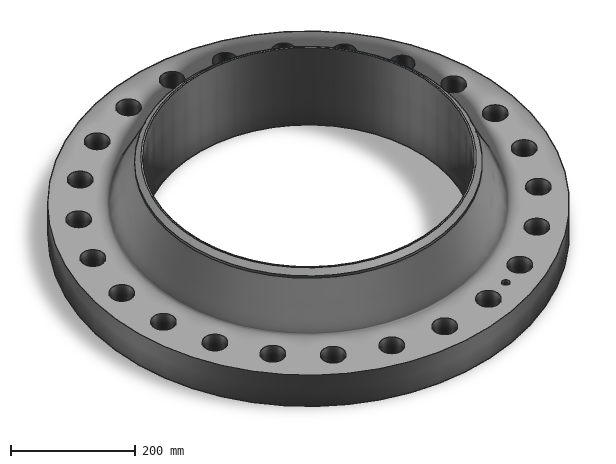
import cadquery as cq
import math

flange_diameter = 838.0
total_height = 165.0
flange_thickness = 67.0

bore_diameter = 533.0
neck_diameter = 559.0
hub_base_diameter = 641.0
hub_fillet_radius = 4.0
root_face = 2.9
bevel_height = 8.0
neck_band = 5.0

bolt_count = 24
bolt_circle_diameter = 742.5
bolt_hole_diameter = 41.0

small_hole_diameter = 13.0
small_hole_depth = 33.5
drill_point_angle = 118
small_hole_angle = 180 / bolt_count


def make_body():
    """Revolve the flange, tapered hub and bevelled weld end about Z."""
    bore_radius = bore_diameter / 2
    flange_radius = flange_diameter / 2
    hub_base_radius = hub_base_diameter / 2
    neck_radius = neck_diameter / 2
    bevel_start = total_height - bevel_height
    profile = [
        (bore_radius, 0),
        (flange_radius, 0),
        (flange_radius, flange_thickness),
        (hub_base_radius, flange_thickness),
        (neck_radius, bevel_start - neck_band),
        (neck_radius, bevel_start),
        (bore_radius + root_face, total_height),
        (bore_radius, total_height),
    ]
    body = cq.Workplane("XZ").polyline(profile).close().revolve(360, (0, 0), (0, 1))
    hub_base_edge = cq.selectors.RadiusNthSelector(-2)
    return body.edges(hub_base_edge).fillet(hub_fillet_radius)


def make_bolt_holes():
    return (
        cq.Workplane("XY")
        .polarArray(bolt_circle_diameter / 2, 0, 360, bolt_count)
        .circle(bolt_hole_diameter / 2)
        .extrude(flange_thickness)
    )


def make_small_hole():
    """Drilled hole with a conical bottom, turned about its own axis."""
    hole_radius = small_hole_diameter / 2
    point_height = hole_radius / math.tan(math.radians(drill_point_angle / 2))
    hole_bottom = flange_thickness - small_hole_depth
    profile = [
        (0, hole_bottom - point_height),
        (hole_radius, hole_bottom),
        (hole_radius, flange_thickness),
        (0, flange_thickness),
    ]
    drill = cq.Workplane("XZ").polyline(profile).close().revolve(360, (0, 0), (0, 1))
    on_bolt_circle = drill.translate((bolt_circle_diameter / 2, 0, 0))
    return on_bolt_circle.rotate((0, 0, 0), (0, 0, 1), small_hole_angle)


result = make_body().cut(make_bolt_holes()).cut(make_small_hole())